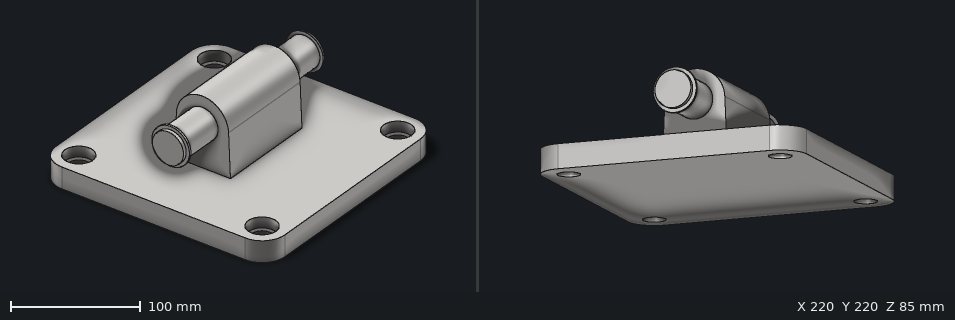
import cadquery as cq
import math

plate_side = 220.0
plate_thickness = 20.0
corner_radius = 22.0

hole_diameter = 18.0
counterbore_diameter = 26.5
counterbore_depth = 10.0
hole_spacing = plate_side - 2 * corner_radius

overall_height = 85.0
block_length = 92.8
block_base_width = 53.7
block_top_radius = 25.0
axis_height = overall_height - block_top_radius

pin_diameter = 30.0
pin_length = 182.5
ring_diameter = 36.0
ring_thickness = 2.0
ring_end_gap = 3.5


def cylinder_along_y(diameter, length, center_y=0):
    """Cylinder on the pin axis, centred lengthwise at center_y."""
    return (
        cq.Workplane("XZ", origin=(0, center_y, axis_height))
        .circle(diameter / 2)
        .extrude(length / 2, both=True)
    )


def make_plate():
    return (
        cq.Workplane("XY")
        .rect(plate_side, plate_side)
        .extrude(plate_thickness)
        .edges("|Z")
        .fillet(corner_radius)
        .faces(">Z")
        .workplane()
        .rect(hole_spacing, hole_spacing, forConstruction=True)
        .vertices()
        .cboreHole(hole_diameter, counterbore_diameter, counterbore_depth)
    )


def make_block():
    half_base = block_base_width / 2
    rise = axis_height - plate_thickness
    corner_distance = math.hypot(half_base, rise)
    tangent_angle = math.acos(block_top_radius / corner_distance) - math.atan2(rise, half_base)
    tangent_x = block_top_radius * math.cos(tangent_angle)
    tangent_z = axis_height + block_top_radius * math.sin(tangent_angle)
    return (
        cq.Workplane("XZ")
        .moveTo(-half_base, plate_thickness)
        .lineTo(half_base, plate_thickness)
        .lineTo(tangent_x, tangent_z)
        .threePointArc((0, overall_height), (-tangent_x, tangent_z))
        .close()
        .extrude(block_length / 2, both=True)
    )


def make_pin():
    pin = cylinder_along_y(pin_diameter, pin_length)
    ring_y = pin_length / 2 - ring_end_gap - ring_thickness / 2
    for side in (-1, 1):
        pin = pin.union(cylinder_along_y(ring_diameter, ring_thickness, side * ring_y))
    return pin


result = make_plate().union(make_block()).union(make_pin())